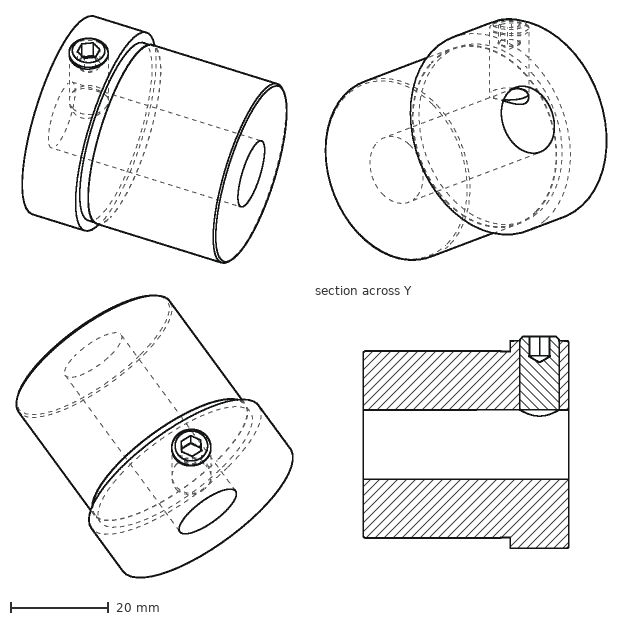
import cadquery as cq
import math

total_length = 42.0
flange_diameter = 42.4
flange_length = 12.0
barrel_diameter = 38.3
relief_diameter = 38.0
relief_length = 1.9
bore_diameter = 14.1
flange_edge_radius = 0.5
barrel_edge_chamfer = 0.4

screw_diameter = 8.0
screw_x = flange_length / 2
screw_length = 15.0
screw_protrusion = 0.9
screw_top_z = flange_diameter / 2 + screw_protrusion
screw_top_diameter = 6.65
screw_chamfer = (screw_diameter - screw_top_diameter) / 2
socket_across_flats = 4.0
socket_across_corners = socket_across_flats / math.cos(math.radians(30))
socket_depth = 4.0
socket_tip_angle = 120.0
socket_tip_depth = socket_across_corners / 2 / math.tan(math.radians(socket_tip_angle / 2))


def x_cylinder(diameter, start, length):
    return cq.Workplane("YZ", origin=(start, 0, 0)).circle(diameter / 2).extrude(length)


def make_sleeve():
    barrel_start = flange_length + relief_length
    flange = x_cylinder(flange_diameter, 0, flange_length).faces("<X").fillet(flange_edge_radius)
    relief = x_cylinder(relief_diameter, flange_length, relief_length)
    barrel = x_cylinder(barrel_diameter, barrel_start, total_length - barrel_start)
    barrel = barrel.faces(">X").chamfer(barrel_edge_chamfer)
    sleeve = flange.union(relief).union(barrel)

    screw_hole = (
        cq.Workplane("XY", origin=(screw_x, 0, 0))
        .circle(screw_diameter / 2)
        .extrude(flange_diameter)
    )
    return sleeve.cut(screw_hole).cut(x_cylinder(bore_diameter, 0, total_length))


def make_socket():
    hexagon = (
        cq.Workplane("XY", origin=(screw_x, 0, screw_top_z))
        .transformed(rotate=(0, 0, 90))
        .polygon(6, socket_across_corners)
        .extrude(-socket_depth)
    )
    tip = cq.Solid.makeCone(
        socket_across_corners / 2,
        0,
        socket_tip_depth,
        pnt=cq.Vector(screw_x, 0, screw_top_z - socket_depth),
        dir=cq.Vector(0, 0, -1),
    )
    return hexagon.union(cq.Workplane(tip))


def make_set_screw():
    shank = (
        cq.Workplane("XY", origin=(screw_x, 0, screw_top_z))
        .circle(screw_diameter / 2)
        .extrude(-screw_length)
        .faces(">Z")
        .chamfer(screw_chamfer)
    )
    return shank.cut(make_socket())


sleeve = make_sleeve()
set_screw = make_set_screw()

result = cq.Compound.makeCompound([sleeve.val(), set_screw.val()])